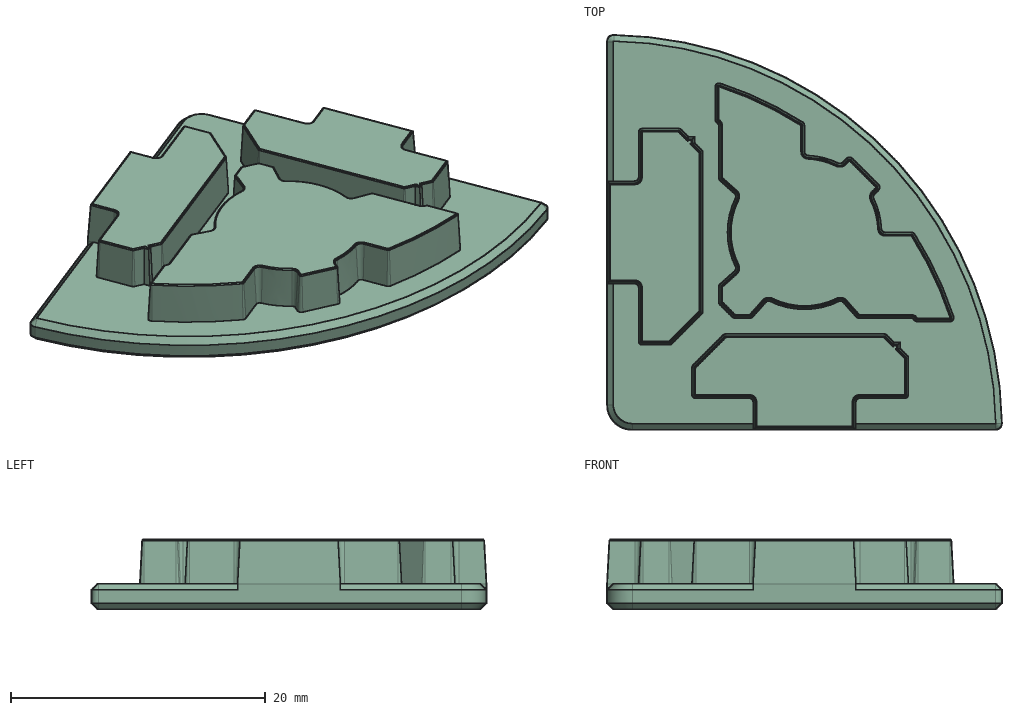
import cadquery as cq
import math

side = 31.0
plate_height = 2.0
plate_chamfer = 0.5
square_corner_radius = 1.98
tip_radius = 0.53

total_height = 5.5
boss_height = total_height - plate_height
draft_angle = 3.0
boss_corner_radius = 0.3
boss_top_chamfer = 0.1

bar_start = 6.65
bar_end = 23.65
bar_near = 2.48
bar_far = 7.53
bar_start_chamfer = 2.55
bar_end_chamfer = 1.8
nub_size = 0.8
nub_reach = 0.25
tab_half_width = 4.03
tab_start = side / 2 - tab_half_width
tab_end = side / 2 + tab_half_width

disc_centre = side / 2
disc_radius = 6.05
neck_half_angle = 28.5
neck_half_width = 4.15
pad_edge = 8.77
pad_corner_chamfer = 1.15
arm_outer_edge = 8.5
arm_inner_edge = disc_centre
arm_step = 23.95
arm_end_radius = 28.6
lug_half_width = 1.77
lug_reach = 28.68

diagonal_normal = cq.Vector(1, -1, 0)


def polar(radius, angle, centre=0.0):
    """Plan point at a radius and an angle in degrees around (centre, centre)."""
    a = math.radians(angle)
    return cq.Vector(centre + radius * math.cos(a), centre + radius * math.sin(a))


def arc(radius, start_angle, end_angle, centre=0.0):
    """Arc edge around (centre, centre) between two angles in degrees."""
    angles = (start_angle, (start_angle + end_angle) / 2, end_angle)
    return cq.Edge.makeThreePointArc(*[polar(radius, angle, centre) for angle in angles])


def lines(*points):
    """Chain of straight edges through the points."""
    vectors = [cq.Vector(*point) if isinstance(point, tuple) else point for point in points]
    return [cq.Edge.makeLine(a, b) for a, b in zip(vectors, vectors[1:])]


def raise_boss(sketch):
    """Extrude a plan sketch from the plate top with draft and break its top rim."""
    boss = cq.Workplane("XY", origin=(0, 0, plate_height)).placeSketch(sketch)
    boss = boss.extrude(boss_height, taper=draft_angle)
    return boss.faces(">Z").chamfer(boss_top_chamfer)


def make_plate():
    arc_radius = tip_radius + math.hypot(side - tip_radius, tip_radius)
    outline = [arc(arc_radius, 0, 90)] + lines((0, arc_radius), (0, 0), (arc_radius, 0))
    plate = cq.Workplane(cq.Wire.assembleEdges(outline)).toPending().extrude(plate_height)
    plate = plate.edges("|Z and (>X or >Y)").fillet(tip_radius)
    plate = plate.edges(cq.selectors.NearestToPointSelector((0, 0, plate_height / 2)))
    plate = plate.fillet(square_corner_radius)
    return plate.faces("<Z or >Z").chamfer(plate_chamfer)


def make_edge_boss():
    tab_corners = [(tab_start, 0), (tab_end, 0)]
    bar_corners = [
        (tab_end, bar_near),
        (bar_end, bar_near),
        (bar_end, bar_far - bar_end_chamfer),
        (bar_end - bar_end_chamfer, bar_far),
        (bar_start + bar_start_chamfer, bar_far),
        (bar_start, bar_far - bar_start_chamfer),
        (bar_start, bar_near),
        (tab_start, bar_near),
    ]
    outline = cq.Wire.assembleEdges(lines(*tab_corners, *bar_corners, tab_corners[0]))
    boss = raise_boss(cq.Sketch().face(outline).vertices("not <Y").fillet(boss_corner_radius))

    nub_inset = bar_end_chamfer / 2 - nub_reach + nub_size / 2
    nub_centre = (bar_end - nub_inset, bar_far - nub_inset)
    nub = raise_boss(cq.Sketch().push([nub_centre]).rect(nub_size, nub_size))

    foot_height = plate_height - plate_chamfer
    foot = cq.Workplane("XY", origin=(tab_start, 0, plate_chamfer))
    foot = foot.rect(2 * tab_half_width, bar_near, centered=False).extrude(foot_height)
    return boss.union(nub).union(foot)


def make_central_boss():
    neck_start = disc_centre - neck_half_width
    neck_end = disc_centre + neck_half_width
    neck_angles = (270 - neck_half_angle, 270 + neck_half_angle)
    rim_start, rim_end = [polar(disc_radius, angle, disc_centre) for angle in neck_angles]

    arm_tip_angle = math.degrees(math.asin(arm_outer_edge / arm_end_radius))
    arm_shoulder_angle = math.degrees(math.asin(arm_inner_edge / arm_end_radius))

    lug_root_angle = 45 - math.degrees(math.asin(lug_half_width / disc_radius))
    lug_tip_angle = 45 - math.degrees(math.atan(lug_half_width / lug_reach))
    lug_tip = polar(math.hypot(lug_reach, lug_half_width), lug_tip_angle)

    pad_corner = cq.Vector(pad_edge + pad_corner_chamfer, pad_edge)
    half = lines(pad_corner, (neck_start, pad_edge), rim_start)
    half += [arc(disc_radius, *neck_angles, disc_centre)]
    half += lines(
        rim_end,
        (neck_end, pad_edge),
        (arm_step, pad_edge),
        (arm_step + pad_edge - arm_outer_edge, arm_outer_edge),
        polar(arm_end_radius, arm_tip_angle),
    )
    half += [arc(arm_end_radius, arm_tip_angle, arm_shoulder_angle)]
    half += lines(
        polar(arm_end_radius, arm_shoulder_angle),
        (disc_centre + disc_radius, arm_inner_edge),
    )
    half += [arc(disc_radius, 0, lug_root_angle, disc_centre)]
    half += lines(polar(disc_radius, lug_root_angle, disc_centre), lug_tip)

    other_half = [edge.mirror(diagonal_normal) for edge in half]
    pad_face = lines(pad_corner, (pad_corner.y, pad_corner.x))
    lug_face = lines(lug_tip, (lug_tip.y, lug_tip.x))
    outline = cq.Wire.combine(half + other_half + pad_face + lug_face)[0]
    return raise_boss(cq.Sketch().face(outline).vertices().fillet(boss_corner_radius))


edge_boss = make_edge_boss()
edge_bosses = edge_boss.union(edge_boss.mirror(diagonal_normal))
result = make_plate().union(edge_bosses).union(make_central_boss())